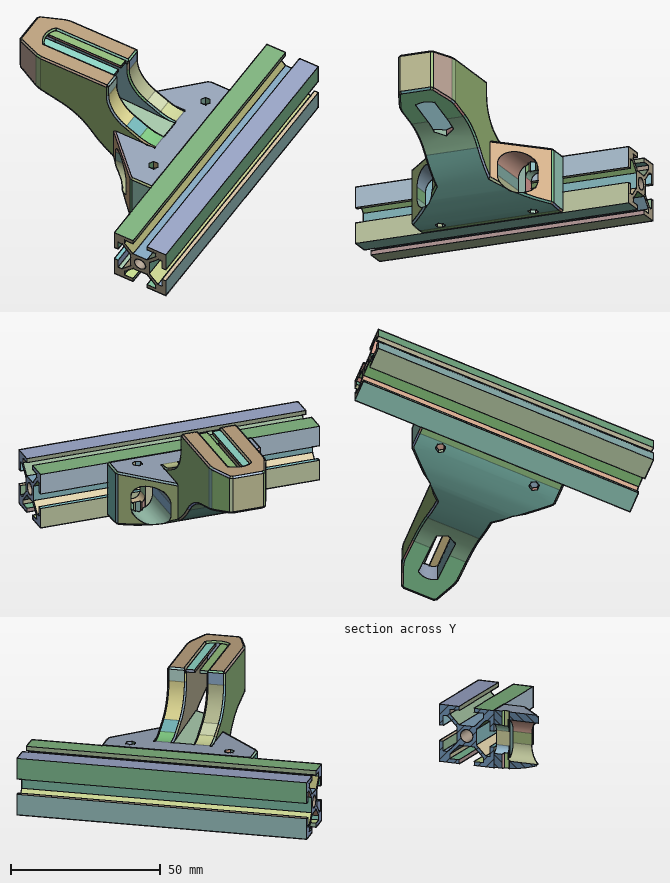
import cadquery as cq
import math

TINY = 0.01

RAIL_SIZE = 20.0
RAIL_LENGTH = 100.0
LIP_THICKNESS = 1.5
SLOT_MOUTH = 5.4
SLOT_INNER_HALF = 6.1
CORE_HALF = 3.6
WEB_OFFSET = 0.9
RAIL_BORE = 4.3

BASE_Z = 0.2
BLOCK_HEIGHT = 20.0
WING_TOP = BASE_Z + BLOCK_HEIGHT
ARM_TOP = WING_TOP + BLOCK_HEIGHT
WING_HALF = 26.0
WING_FLAT = 8.0
EDGE_CHAMFER = 0.6

ARM_HALF = 10.0
ARM_TIP_X = -62.9
ARM_BACK_X = -26.2
TAPER_X = -53.4
TIP_HALF = 6.2
TIP_CORNER_CHAMFER = 0.7
TAPER_CORNER_CHAMFER = 1.0
WING_INNER_X = -WING_FLAT - (WING_HALF - ARM_HALF)

TIP_BOTTOM_Z = 26.6
SLOPE_ANGLE = math.radians(14)
BEND_RADIUS = 22.0
SWEEP_RADIUS = 40.0
SWEEP_X = -2.2

BACK_RADIUS = 12.6
RAMP_ANGLE = math.atan(0.5)
RAMP_END_X = -14.1
FOOT_X = -WING_FLAT

CHANNEL_WIDTH = 7.0
RECESS_WIDTH = 7.6
RECESS_DEPTH = 1.6
CHANNEL_LEFT_X = -55.9
CHANNEL_END_RADIUS = 5.8
OPENING_TIP_X = -37.5
OPENING_TIP_ANGLE = math.radians(30)
FLOOR_ANGLE = math.radians(2.4)
FLOOR_FOOT_Z = 19.7
FLOOR_HALF = 4.5

STRIP_GAP = 1.8
STRIP_END_X = -27.5
STRIP_THICKNESS = 1.0

SCREW_Y = 17.0
SCREW_TRAVEL = 4.0
COUNTERBORE_WIDTH = 10.3
COUNTERBORE_HEIGHT = COUNTERBORE_WIDTH + SCREW_TRAVEL
SCREW_WIDTH = 5.2
SCREW_SLOT_HEIGHT = 10.2
COUNTERBORE_FLOOR_X = -5.0
RELIEF_DEPTH = 0.3
HEX_X = -4.3
HEX_DIAMETER = 3.4


def side_profile(points):
    """Closed polygon drawn in the XZ plane."""
    return cq.Workplane("XZ").polyline(points).close()


def make_rail():
    half = RAIL_SIZE / 2
    mouth = SLOT_MOUTH / 2
    lip_inner = half - LIP_THICKNESS
    slot = [
        (-mouth, half),
        (-mouth, lip_inner),
        (-SLOT_INNER_HALF, lip_inner),
        (-SLOT_INNER_HALF, SLOT_INNER_HALF + WEB_OFFSET),
        (-CORE_HALF + WEB_OFFSET, CORE_HALF),
    ]
    slot += [(-x, z) for x, z in reversed(slot)]
    groove = side_profile(slot).extrude(RAIL_LENGTH / 2, both=True)
    rail = cq.Workplane("XZ").rect(RAIL_SIZE, RAIL_SIZE).circle(RAIL_BORE / 2)
    rail = rail.extrude(RAIL_LENGTH / 2, both=True)
    for turn in range(4):
        rail = rail.cut(groove.rotate((0, 0, 0), (0, 1, 0), 90 * turn))
    return rail.translate((half, 0, half))


def on_circle(centre, radius, angle):
    return (centre[0] + radius * math.cos(angle), centre[1] + radius * math.sin(angle))


def underside():
    """Path in the XZ plane from the arm tip along the underside to the mounting face."""
    sweep_centre = (SWEEP_X, BASE_Z + SWEEP_RADIUS)
    along = (math.cos(SLOPE_ANGLE), -math.sin(SLOPE_ANGLE))
    start = (
        ARM_TIP_X - BEND_RADIUS * math.sin(SLOPE_ANGLE),
        TIP_BOTTOM_Z - BEND_RADIUS * math.cos(SLOPE_ANGLE),
    )
    gap = (sweep_centre[0] - start[0], sweep_centre[1] - start[1])
    reach = gap[0] * along[0] + gap[1] * along[1]
    offset_squared = gap[0] ** 2 + gap[1] ** 2 - reach ** 2
    run = reach - math.sqrt((SWEEP_RADIUS + BEND_RADIUS) ** 2 - offset_squared)
    bend_centre = (start[0] + run * along[0], start[1] + run * along[1])

    bend_start = math.pi / 2 - SLOPE_ANGLE
    bend_end = math.atan2(sweep_centre[1] - bend_centre[1], sweep_centre[0] - bend_centre[0])
    sweep_start = bend_end + math.pi
    sweep_end = 1.5 * math.pi
    return (
        cq.Workplane("XZ")
        .moveTo(ARM_TIP_X, TIP_BOTTOM_Z)
        .lineTo(*on_circle(bend_centre, BEND_RADIUS, bend_start))
        .threePointArc(
            on_circle(bend_centre, BEND_RADIUS, (bend_start + bend_end) / 2),
            on_circle(bend_centre, BEND_RADIUS, bend_end),
        )
        .threePointArc(
            on_circle(sweep_centre, SWEEP_RADIUS, (sweep_start + sweep_end) / 2),
            (SWEEP_X, BASE_Z),
        )
        .lineTo(0, BASE_Z)
    )


def space_above_underside():
    outline = underside().lineTo(0, ARM_TOP).lineTo(ARM_TIP_X, ARM_TOP).close()
    return outline.extrude(WING_HALF, both=True)


def back_of_arm(path):
    """Continue a path from the mounting face over the wing top and up the back of the arm."""
    foot_radius = (FOOT_X - RAMP_END_X) / math.sin(RAMP_ANGLE)
    foot_centre = (FOOT_X, WING_TOP + foot_radius)
    foot_start = 1.5 * math.pi - RAMP_ANGLE
    ramp_end = on_circle(foot_centre, foot_radius, foot_start)
    back_centre_x = ARM_BACK_X + BACK_RADIUS
    ramp_start_x = back_centre_x - BACK_RADIUS * math.sin(RAMP_ANGLE)
    ramp_start_z = ramp_end[1] + (ramp_end[0] - ramp_start_x) * math.tan(RAMP_ANGLE)
    back_centre = (back_centre_x, ramp_start_z + BACK_RADIUS * math.cos(RAMP_ANGLE))
    return (
        path.lineTo(0, WING_TOP)
        .lineTo(FOOT_X, WING_TOP)
        .threePointArc(on_circle(foot_centre, foot_radius, foot_start + RAMP_ANGLE / 2), ramp_end)
        .lineTo(ramp_start_x, ramp_start_z)
        .threePointArc(
            on_circle(back_centre, BACK_RADIUS, (math.pi + foot_start) / 2),
            (ARM_BACK_X, back_centre[1]),
        )
        .lineTo(ARM_BACK_X, ARM_TOP)
        .lineTo(ARM_TIP_X, ARM_TOP)
    )


def arm_plan():
    """Tapered prism around the arm with chamfered vertical corners."""
    taper = math.atan2(ARM_HALF - TIP_HALF, TAPER_X - ARM_TIP_X)
    half_plan = [
        (0, ARM_HALF),
        (TAPER_X + TAPER_CORNER_CHAMFER, ARM_HALF),
        (
            TAPER_X - TAPER_CORNER_CHAMFER * math.cos(taper),
            ARM_HALF - TAPER_CORNER_CHAMFER * math.sin(taper),
        ),
        (
            ARM_TIP_X + TIP_CORNER_CHAMFER * math.cos(taper),
            TIP_HALF + TIP_CORNER_CHAMFER * math.sin(taper),
        ),
        (ARM_TIP_X, TIP_HALF - TIP_CORNER_CHAMFER),
    ]
    other_half = [(x, -y) for x, y in reversed(half_plan)]
    return cq.Workplane("XY").polyline(half_plan + other_half).close().extrude(ARM_TOP)


def slot_with_round_end(width, right_end):
    """Plan of a slot along X: shallow arc at the left, then straight sides to the given points."""
    half = width / 2
    sag = CHANNEL_END_RADIUS - math.sqrt(CHANNEL_END_RADIUS ** 2 - half ** 2)
    corner_x = CHANNEL_LEFT_X + sag
    return (
        cq.Workplane("XY")
        .moveTo(corner_x, -half)
        .threePointArc((CHANNEL_LEFT_X, 0), (corner_x, half))
        .polyline(right_end, includeCurrent=True)
        .close()
    )


def channel(width, end_x):
    half = width / 2
    return slot_with_round_end(width, [(end_x, half), (end_x, -half)])


def lies_on_rim(edge):
    """True for the chamfered arm edges: around the top, down the back and along the underside."""
    centre = edge.Center()
    box = edge.BoundingBox()
    crosses_arm = box.xlen < TINY and box.ylen > TINY
    vertical = box.xlen < TINY and box.zlen > TINY
    on_back = ARM_BACK_X - TINY < box.xmin and centre.x < FOOT_X
    if crosses_arm:
        return centre.z > ARM_TOP - TINY or centre.x < ARM_TIP_X + TINY
    if vertical:
        return on_back
    on_outside = abs(centre.y) > ARM_HALF / 2 and centre.x < FOOT_X
    return on_outside or (on_back and centre.z > WING_TOP)


def make_recess():
    """Recess on top of the channel, widened by a chamfer at its upper edge."""
    recess = channel(RECESS_WIDTH, FOOT_X).extrude(RECESS_DEPTH)
    chamfer = channel(RECESS_WIDTH, FOOT_X).extrude(EDGE_CHAMFER, taper=-45)
    recess = recess.union(chamfer.translate((0, 0, RECESS_DEPTH - EDGE_CHAMFER)))
    return recess.translate((0, 0, ARM_TOP - RECESS_DEPTH))


def make_arm():
    """Raised arm with chamfered edges, split by the open channel and its recess."""
    arm = back_of_arm(underside()).close().extrude(ARM_HALF, both=True).intersect(arm_plan())
    arm = arm.cut(channel(CHANNEL_WIDTH, 0).extrude(ARM_TOP))
    rim = [edge for edge in arm.edges().vals() if lies_on_rim(edge)]
    arm = arm.newObject(rim).chamfer(EDGE_CHAMFER)
    return arm.cut(make_recess())


def make_floor():
    """Floor of the channel, sloping up to the pointed end of the bottom opening."""
    rise = (FOOT_X - CHANNEL_LEFT_X) * math.tan(FLOOR_ANGLE)
    floor = side_profile([
        (CHANNEL_LEFT_X, FLOOR_FOOT_Z + rise),
        (FOOT_X, FLOOR_FOOT_Z),
        (FOOT_X, 0),
        (CHANNEL_LEFT_X, 0),
    ]).extrude(FLOOR_HALF, both=True)
    floor = floor.intersect(space_above_underside())
    half = CHANNEL_WIDTH / 2
    shoulder_x = OPENING_TIP_X - half * math.tan(OPENING_TIP_ANGLE)
    pointed_end = [(shoulder_x, half), (OPENING_TIP_X, 0), (shoulder_x, -half)]
    opening = slot_with_round_end(CHANNEL_WIDTH, pointed_end)
    return floor.cut(opening.extrude(ARM_TOP))


def upright_slot(width, height, depth):
    """Slot with round ends, long along Z, running from X = 0 toward -X."""
    return cq.Workplane("YZ").slot2D(height, width, 90).extrude(-depth)


def make_screw_slot():
    """Through slot with a counterbore and a shallow relief strip across the counterbore floor."""
    depth = -WING_INNER_X + WING_FLAT
    through = upright_slot(SCREW_WIDTH, SCREW_SLOT_HEIGHT, depth)
    bore = upright_slot(COUNTERBORE_WIDTH, COUNTERBORE_HEIGHT, depth)
    bore = bore.translate((COUNTERBORE_FLOOR_X, 0, 0))
    relief = cq.Workplane("YZ").rect(SCREW_WIDTH, COUNTERBORE_HEIGHT).extrude(-depth)
    relief = relief.translate((COUNTERBORE_FLOOR_X + RELIEF_DEPTH, 0, 0))
    relief = relief.intersect(bore.translate((RELIEF_DEPTH, 0, 0)))
    return through.union(bore).union(relief)


def make_wings():
    """Wing block with 45-degree faces; the space behind the arm is left open."""
    plan = [(0, WING_HALF), (-WING_FLAT, WING_HALF), (WING_INNER_X, ARM_HALF)]
    plan += [(x, -y) for x, y in reversed(plan)]
    wings = cq.Workplane("XY").polyline(plan).close().extrude(WING_TOP)
    wings = wings.intersect(space_above_underside())
    outer = [
        edge
        for edge in wings.edges().vals()
        if abs(edge.Center().y) > ARM_HALF + EDGE_CHAMFER and edge.Center().x < -TINY
    ]
    wings = wings.newObject(outer).chamfer(EDGE_CHAMFER)
    pocket = cq.Workplane("XY").box(
        FOOT_X - WING_INNER_X, 2 * ARM_HALF, BLOCK_HEIGHT, centered=(False, True, False)
    )
    wings = wings.cut(pocket.translate((WING_INNER_X, 0, BASE_Z + BLOCK_HEIGHT / 2)))

    screw_slot = make_screw_slot()
    for y in (-SCREW_Y, SCREW_Y):
        wings = wings.cut(screw_slot.translate((0, y, BASE_Z + BLOCK_HEIGHT / 2)))
        hexagon = cq.Workplane("XY").center(HEX_X, y).polygon(6, HEX_DIAMETER)
        wings = wings.cut(hexagon.extrude(ARM_TOP))
    return wings


def make_bracket():
    wings = make_wings().cut(channel(CHANNEL_WIDTH, FOOT_X).extrude(ARM_TOP))
    return wings.union(make_arm()).union(make_floor())


def make_strip(side):
    """Strip in the recess, on the +Y side of the gap for side 1 and the -Y side for side -1."""
    both = channel(RECESS_WIDTH, STRIP_END_X).extrude(STRIP_THICKNESS)
    half_space = cq.Workplane("XY").box(-2 * ARM_TIP_X, ARM_HALF, ARM_TOP)
    half_space = half_space.translate((ARM_TIP_X, side * (ARM_HALF + STRIP_GAP) / 2, 0))
    return both.intersect(half_space).translate((0, 0, ARM_TOP - RECESS_DEPTH))


rail = make_rail()
bracket = make_bracket()
strips = [make_strip(side) for side in (-1, 1)]

result = cq.Compound.makeCompound([rail.val(), bracket.val(), *[strip.val() for strip in strips]])